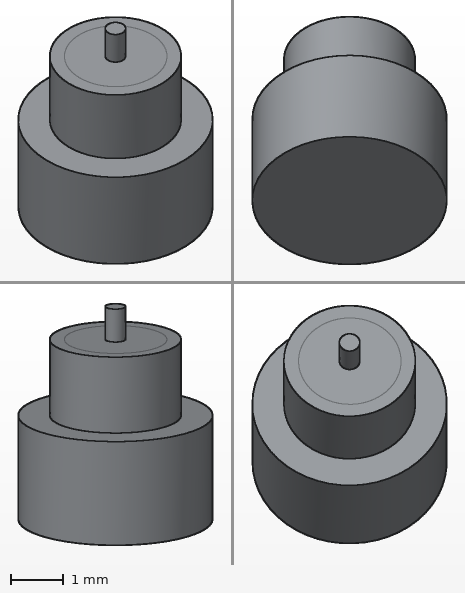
import cadquery as cq

body_diameter = 3.7
body_height = 2.05
neck_diameter = 2.5
neck_height = 1.5
insulator_diameter = 1.95
pin_diameter = 0.39
pin_length = 0.65

neck_base = body_height
neck_top = neck_base + neck_height


def cylinder(diameter, base, height):
    """Upright cylinder on the Z axis."""
    return cq.Workplane("XY").workplane(offset=base).circle(diameter / 2).extrude(height)


def make_shell():
    """Wide body with a narrower neck, the neck bored to hold the insulator."""
    body = cylinder(body_diameter, 0, body_height)
    neck = cylinder(neck_diameter, neck_base, neck_height)
    bore = cylinder(insulator_diameter, neck_base, neck_height)
    return body.union(neck).cut(bore)


def make_insulator():
    """Core filling the neck bore, flush with the neck's end face."""
    return cylinder(insulator_diameter, neck_base, neck_height)


def make_pin():
    """Centre contact standing on the insulator."""
    return cylinder(pin_diameter, neck_top, pin_length)


result = make_shell().union(make_insulator(), clean=False).union(make_pin(), clean=False)